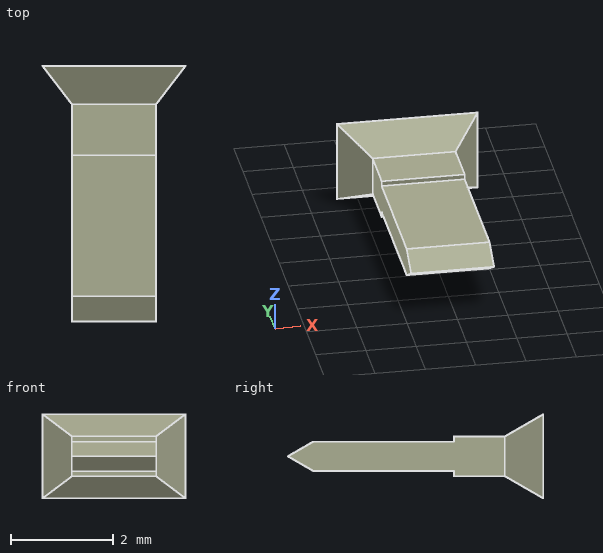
import cadquery as cq
import math

total_length = 5.0
head_height = 1.65
head_length = 0.75
neck_length = 1.0
shank_width = 1.65
tip_length = 0.5
taper_angle = math.radians(30)
side_taper_angle = math.radians(37.5)

head_width = shank_width + 2 * head_length * math.tan(side_taper_angle)
neck_height = head_height - 2 * head_length * math.tan(taper_angle)
blade_height = 2 * tip_length * math.tan(taper_angle)
back_y = total_length / 2
neck_y = back_y - head_length
step_y = neck_y - neck_length
tip_edge_y = -total_length / 2
tip_start_y = tip_edge_y + tip_length


def make_head():
    """Rectangular frustum narrowing from the back face to the neck."""
    return (
        cq.Workplane("XZ", origin=(0, back_y, 0))
        .rect(head_width, head_height)
        .workplane(offset=head_length)
        .rect(shank_width, neck_height)
        .loft(ruled=True)
    )


def make_neck():
    """Rectangular block between the head and the thinner blade."""
    return cq.Workplane("XZ", origin=(0, neck_y, 0)).rect(shank_width, neck_height).extrude(neck_length)


def make_blade():
    """Flat blade with a symmetric wedge tip, extruded across the width."""
    half_height = blade_height / 2
    outline = [
        (step_y, half_height),
        (tip_start_y, half_height),
        (tip_edge_y, 0),
        (tip_start_y, -half_height),
        (step_y, -half_height),
    ]
    return cq.Workplane("YZ").polyline(outline).close().extrude(shank_width / 2, both=True)


result = make_head().union(make_neck()).union(make_blade())